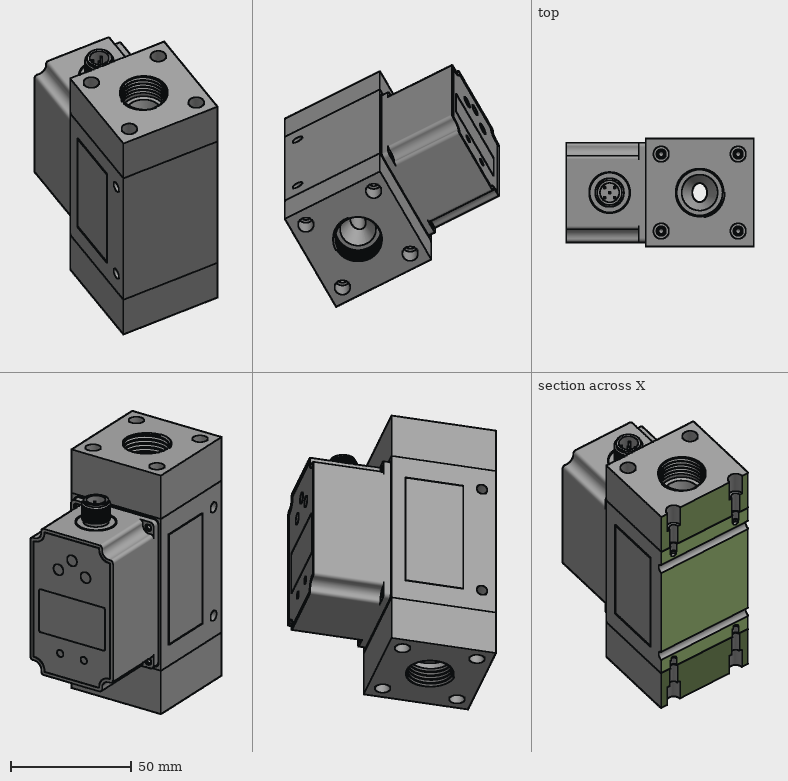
import cadquery as cq
import math


BLOCK_SIDE = 45.0
TOTAL_HEIGHT = 110.0
END_HEIGHT = 20.0
CENTRE_HEIGHT = TOTAL_HEIGHT - 2 * END_HEIGHT
BLOCK_HALF = BLOCK_SIDE / 2
CENTRE_HALF = CENTRE_HEIGHT / 2

PASSAGE_X = 6.0
PASSAGE_Y = 7.8
FUNNEL_DIAMETER = 15.0
PORT_DIAMETER = 19.0
PORT_MOUTH_DIAMETER = 20.0
MOUTH_ANGLE = 45.0
PORT_THREAD_DIAMETER = 20.9
PORT_PITCH = 1.9
PORT_TURNS = 5
PORT_DEPTH = (PORT_TURNS + 1) * PORT_PITCH

SCREW_SPACING = 32.0
SCREW_HEAD_DIAMETER = 6.5
SCREW_HEAD_DEPTH = END_HEIGHT / 2
SCREW_CLEARANCE_DIAMETER = 4.0
SCREW_THREAD_DIAMETER = 3.2
SCREW_THREAD_DEPTH = 4.4
SCREW_DRILL_DIAMETER = 2.3
SCREW_DRILL_DEPTH = 5.5
DRILL_TIP_ANGLE = 118.0

MOUNTING_HOLE_DIAMETER = 4.5
MOUNTING_HOLE_SPACING = 49.9
MOUNTING_HOLE_EDGE = 6.0
PLATE_WIDTH = 24.9
PLATE_HEIGHT = 50.8
PLATE_EDGE = 6.0
PLATE_DEPTH = 0.3

HOUSING_LENGTH = 33.0
HOUSING_WIDTH = 41.6
HOUSING_HEIGHT = 67.4
FLANGE_THICKNESS = 2.9
FLANGE_RADIUS = 1.9
SEAT_GAP = 0.3
SEAT_DEPTH = 0.3
NOTCH_INSET = 2.1
NOTCH_RADIUS = 3.4
NOTCH_LIP_RADIUS = 1.4
FLANGE_SCREW_INSET = 2.9
FLANGE_SCREW_DIAMETER = 2.0
FLANGE_SCREW_HEAD_DIAMETER = 3.0
FLANGE_SCREW_HEAD_DEPTH = 0.9
HOUSING_TOP = HOUSING_HEIGHT / 2
HOUSING_FRONT = -BLOCK_HALF - HOUSING_LENGTH
FLANGE_FRONT = -BLOCK_HALF - FLANGE_THICKNESS

LABEL_INSET = 1.5
LABEL_DEPTH = 0.2
LABEL_LIP_RADIUS = 0.4
PRINT_DEPTH = 0.1
WINDOW_WIDTH = 33.1
WINDOW_HEIGHT = 19.8
WINDOW_Z = -4.6
WINDOW_RADIUS = 0.8
LAMP_DIAMETER = 5.0
LAMP_PLACES = [(0, 22.7), (-6.8, 16.7), (6.8, 16.7)]
BUTTON_DIAMETER = 3.2
BUTTON_SPACING = 11.9
BUTTON_Z = -21.7

PLUG_X = HOUSING_FRONT + 18.0
PLUG_GROOVE_DIAMETER = 17.2
PLUG_GROOVE_WIDTH = 0.3
PLUG_GROOVE_DEPTH = 0.3
PLUG_NECK_DIAMETER = 10.7
PLUG_NECK_HEIGHT = 1.8
PLUG_HEIGHT = 10.0
PLUG_THREAD_DIAMETER = 12.0
PLUG_ROOT_DIAMETER = 10.9
PLUG_PITCH = 1.0
PLUG_TURNS = 6
PLUG_THREAD_START = 0.3
PLUG_TIP_DIAMETER = 10.3
PLUG_TIP_HEIGHT = 1.0
PLUG_CONE_HEIGHT = 0.7
PLUG_BORE_DIAMETER = 8.0
PLUG_BORE_DEPTH = 8.0
PIN_DIAMETER = 0.9
PIN_OFFSET = 2.1
PIN_RECESS = 2.2

THREAD_OPENING = 0.9
OVERSHOOT = 0.1


def cylinder(diameter, bottom, height, x=0.0, y=0.0):
    """Upright cylinder standing on the level `bottom`."""
    return cq.Workplane("XY", origin=(x, y, bottom)).circle(diameter / 2).extrude(height)


def thread_cutter(open_diameter, tip_diameter, pitch, turns):
    """Helical V groove, open at one diameter and pointed at the other."""
    outward = math.copysign(1, tip_diameter - open_diameter)
    open_radius = open_diameter / 2 - outward * OVERSHOOT
    half_opening = THREAD_OPENING * pitch / 2
    helix = cq.Wire.makeHelix(pitch, turns * pitch, open_radius)
    groove = (
        cq.Workplane("XZ")
        .moveTo(open_radius, -half_opening)
        .lineTo(tip_diameter / 2, 0)
        .lineTo(open_radius, half_opening)
        .close()
    )
    return groove.sweep(cq.Workplane(obj=helix), isFrenet=True)


def notched_prism(width, height, notch_inset, notch_radius, lip_radius, start_x, length):
    """Rectangle in YZ, each corner cut by a round notch with rounded lips, extruded along +X."""
    reach = math.sqrt((notch_radius + lip_radius) ** 2 - (notch_inset - lip_radius) ** 2)
    lip_start = notch_inset + reach
    share = notch_radius / (notch_radius + lip_radius)
    far = notch_inset + share * reach
    near = notch_inset - share * (notch_inset - lip_radius)
    middle = notch_inset + notch_radius * math.sqrt(0.5)
    lip_turn = math.atan2(reach, notch_inset - lip_radius) / 2
    lip_far = lip_start - lip_radius * math.sin(lip_turn)
    lip_near = lip_radius * (1 - math.cos(lip_turn))

    corner = [
        (lip_start, 0), (lip_far, lip_near), (far, near), (middle, middle),
        (near, far), (lip_near, lip_far), (0, lip_start),
    ]
    outline = None
    for side_y, side_z in [(1, 1), (1, -1), (-1, -1), (-1, 1)]:
        ordered = corner if side_y == side_z else corner[::-1]
        points = [(side_y * (width / 2 - a), side_z * (height / 2 - b)) for a, b in ordered]
        if outline is None:
            outline = cq.Workplane("YZ", origin=(start_x, 0, 0)).moveTo(*points[0])
        else:
            outline = outline.lineTo(*points[0])
        for first in (1, 3, 5):
            outline = outline.threePointArc(points[first], points[first + 1])
    return outline.close().extrude(length)


def make_end_block():
    """Upper end block: threaded port, funnel to the passage and four counterbored screw holes."""
    block = cq.Workplane("XY", origin=(0, 0, CENTRE_HALF)).rect(BLOCK_SIDE, BLOCK_SIDE).extrude(END_HEIGHT)

    port_floor = TOTAL_HEIGHT / 2 - PORT_DEPTH
    funnel = (
        cq.Workplane("XY", origin=(0, 0, CENTRE_HALF))
        .ellipse(PASSAGE_X / 2, PASSAGE_Y / 2)
        .workplane(offset=port_floor - CENTRE_HALF)
        .circle(FUNNEL_DIAMETER / 2)
        .loft(ruled=True)
    )
    block = block.cut(funnel)
    block = block.cut(cylinder(PORT_DIAMETER, port_floor, PORT_DEPTH))
    thread = thread_cutter(PORT_DIAMETER, PORT_THREAD_DIAMETER, PORT_PITCH, PORT_TURNS)
    block = block.cut(thread.translate((0, 0, port_floor + PORT_PITCH)))

    mouth_chamfer = (PORT_MOUTH_DIAMETER - PORT_DIAMETER) / 2
    mouth = (
        cq.Workplane("XY", origin=(0, 0, TOTAL_HEIGHT / 2))
        .circle(PORT_MOUTH_DIAMETER / 2)
        .extrude(-mouth_chamfer, taper=MOUTH_ANGLE)
    )
    block = block.cut(mouth)

    return (
        block.faces(">Z").workplane(origin=(0, 0, 0))
        .rect(SCREW_SPACING, SCREW_SPACING, forConstruction=True).vertices()
        .cboreHole(SCREW_CLEARANCE_DIAMETER, SCREW_HEAD_DIAMETER, SCREW_HEAD_DEPTH)
    )


def make_screw_hole():
    """Blind threaded hole below the top of the centre block, with a drilled conical end."""
    thread_radius = SCREW_THREAD_DIAMETER / 2
    drill_radius = SCREW_DRILL_DIAMETER / 2
    tip_depth = SCREW_DRILL_DEPTH + drill_radius / math.tan(math.radians(DRILL_TIP_ANGLE / 2))
    return (
        cq.Workplane("XZ", origin=(0, 0, CENTRE_HALF))
        .lineTo(thread_radius, 0)
        .lineTo(thread_radius, -SCREW_THREAD_DEPTH)
        .lineTo(drill_radius, -SCREW_THREAD_DEPTH)
        .lineTo(drill_radius, -SCREW_DRILL_DEPTH)
        .lineTo(0, -tip_depth)
        .close()
        .revolve()
    )


def make_centre_block():
    """Middle of the flow block, with the seat for the housing."""
    block = cq.Workplane("XY").box(BLOCK_SIDE, BLOCK_SIDE, CENTRE_HEIGHT)

    passage = (
        cq.Workplane("XY", origin=(0, 0, -CENTRE_HALF))
        .ellipse(PASSAGE_X / 2, PASSAGE_Y / 2)
        .extrude(CENTRE_HEIGHT)
    )
    block = block.cut(passage)

    upper_hole = make_screw_hole()
    lower_hole = upper_hole.mirror("XY")
    for x in (-SCREW_SPACING / 2, SCREW_SPACING / 2):
        for y in (-SCREW_SPACING / 2, SCREW_SPACING / 2):
            block = block.cut(upper_hole.translate((x, y, 0))).cut(lower_hole.translate((x, y, 0)))

    mounting_holes = (
        cq.Workplane("XZ", origin=(BLOCK_HALF - MOUNTING_HOLE_EDGE, BLOCK_HALF, 0))
        .pushPoints([(0, -MOUNTING_HOLE_SPACING / 2), (0, MOUNTING_HOLE_SPACING / 2)])
        .circle(MOUNTING_HOLE_DIAMETER / 2)
        .extrude(BLOCK_SIDE)
    )
    plate_x = -BLOCK_HALF + PLATE_EDGE + PLATE_WIDTH / 2
    plate_recess = (
        cq.Workplane("XZ", origin=(plate_x, -BLOCK_HALF + PLATE_DEPTH, 0))
        .rect(PLATE_WIDTH, PLATE_HEIGHT)
        .extrude(PLATE_DEPTH)
    )
    seat = flange_plate(-BLOCK_HALF, SEAT_DEPTH, SEAT_GAP)
    return block.cut(mounting_holes).cut(plate_recess).cut(seat)


def flange_plate(start_x, length, margin=0.0):
    """Plate with the housing's outline, rounded at the corners and widened by `margin`."""
    return (
        cq.Workplane("YZ", origin=(start_x, 0, 0))
        .rect(HOUSING_WIDTH + 2 * margin, HOUSING_HEIGHT + 2 * margin)
        .extrude(length)
        .edges("|X").fillet(FLANGE_RADIUS + margin)
    )


def make_label_recess():
    """Recessed front label, with the window, lamps and buttons set slightly deeper."""
    recess = notched_prism(
        HOUSING_WIDTH - 2 * LABEL_INSET, HOUSING_HEIGHT - 2 * LABEL_INSET,
        NOTCH_INSET - LABEL_INSET, NOTCH_RADIUS + LABEL_INSET, LABEL_LIP_RADIUS,
        HOUSING_FRONT, LABEL_DEPTH,
    )
    depth = LABEL_DEPTH + PRINT_DEPTH
    face = cq.Workplane("YZ", origin=(HOUSING_FRONT, 0, 0))
    window = (
        face.center(0, WINDOW_Z).rect(WINDOW_WIDTH, WINDOW_HEIGHT).extrude(depth)
        .edges("|X").fillet(WINDOW_RADIUS)
    )
    lamps = face.pushPoints(LAMP_PLACES).circle(LAMP_DIAMETER / 2).extrude(depth)
    button_places = [(-BUTTON_SPACING / 2, BUTTON_Z), (BUTTON_SPACING / 2, BUTTON_Z)]
    buttons = face.pushPoints(button_places).circle(BUTTON_DIAMETER / 2).extrude(depth)
    return recess.union(window).union(lamps).union(buttons)


def make_housing():
    """Electronics housing: notched box on a screwed flange that sits in the block's seat."""
    shell = notched_prism(
        HOUSING_WIDTH, HOUSING_HEIGHT, NOTCH_INSET, NOTCH_RADIUS, NOTCH_LIP_RADIUS,
        HOUSING_FRONT, HOUSING_LENGTH - FLANGE_THICKNESS,
    )
    flange = flange_plate(FLANGE_FRONT, FLANGE_THICKNESS + SEAT_DEPTH)

    screw_y = HOUSING_WIDTH - 2 * FLANGE_SCREW_INSET
    screw_z = HOUSING_HEIGHT - 2 * FLANGE_SCREW_INSET
    screw_centres = (
        cq.Workplane("YZ", origin=(FLANGE_FRONT, 0, 0))
        .rect(screw_y, screw_z, forConstruction=True).vertices()
    )
    heads = screw_centres.circle(FLANGE_SCREW_HEAD_DIAMETER / 2).extrude(FLANGE_SCREW_HEAD_DEPTH)
    shanks = screw_centres.circle(FLANGE_SCREW_DIAMETER / 2).extrude(FLANGE_THICKNESS)

    groove = cylinder(PLUG_GROOVE_DIAMETER, HOUSING_TOP - PLUG_GROOVE_DEPTH, PLUG_GROOVE_DEPTH, PLUG_X)
    island_diameter = PLUG_GROOVE_DIAMETER - 2 * PLUG_GROOVE_WIDTH
    groove = groove.cut(
        cylinder(island_diameter, HOUSING_TOP - PLUG_GROOVE_DEPTH, PLUG_GROOVE_DEPTH, PLUG_X)
    )
    housing = shell.union(flange.cut(heads).cut(shanks))
    return housing.cut(groove).cut(make_label_recess())


def make_plug():
    """Threaded round plug with five pins, standing on the housing."""
    tip_radius = PLUG_TIP_DIAMETER / 2
    neck_radius = PLUG_NECK_DIAMETER / 2
    thread_radius = PLUG_THREAD_DIAMETER / 2
    tip_start = PLUG_HEIGHT - PLUG_TIP_HEIGHT
    thread_end = tip_start - PLUG_CONE_HEIGHT
    sleeve = (
        cq.Workplane("XZ")
        .lineTo(neck_radius, 0)
        .lineTo(neck_radius, PLUG_NECK_HEIGHT)
        .lineTo(thread_radius, PLUG_NECK_HEIGHT)
        .lineTo(thread_radius, thread_end)
        .lineTo(tip_radius, tip_start)
        .lineTo(tip_radius, PLUG_HEIGHT)
        .lineTo(0, PLUG_HEIGHT)
        .close()
        .revolve()
    )
    thread = thread_cutter(PLUG_THREAD_DIAMETER, PLUG_ROOT_DIAMETER, PLUG_PITCH, PLUG_TURNS)
    sleeve = sleeve.cut(thread.translate((0, 0, PLUG_NECK_HEIGHT + PLUG_THREAD_START)))

    bore_floor = PLUG_HEIGHT - PLUG_BORE_DEPTH
    plug = sleeve.cut(cylinder(PLUG_BORE_DIAMETER, bore_floor, PLUG_BORE_DEPTH))
    pin_height = PLUG_BORE_DEPTH - PIN_RECESS
    outer_pins = [(x, y) for x in (-PIN_OFFSET, PIN_OFFSET) for y in (-PIN_OFFSET, PIN_OFFSET)]
    for x, y in [(0, 0)] + outer_pins:
        plug = plug.union(cylinder(PIN_DIAMETER, bore_floor, pin_height, x, y))
    return plug.translate((PLUG_X, 0, HOUSING_TOP))


meter_body = make_centre_block().union(make_housing()).union(make_plug())

end_block = make_end_block()
end_blocks = [end_block.rotate((0, 0, 0), (1, 0, 0), angle) for angle in (0, 180)]

bodies = [meter_body] + end_blocks
result = cq.Compound.makeCompound([body.solids().val() for body in bodies])